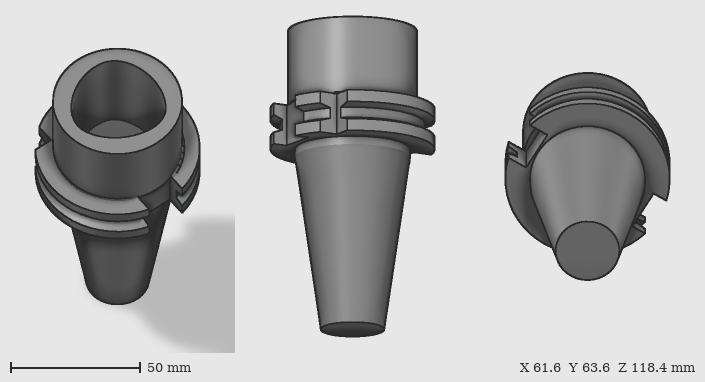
import cadquery as cq
import math

total_height = 118.4
taper_height = 68.3
flange_bottom = 71.5
flange_top = 87.6

gauge_radius = 22.3
taper_slope = 7 / 24 / 2
small_end_radius = gauge_radius - taper_height * taper_slope
flange_diameter = 63.6
flange_radius = flange_diameter / 2
body_radius = 25.0

fillet_radius = 1.0

groove_radius = 28.1
groove_floor_width = 4.0
groove_mouth_width = 6.9
groove_center = (flange_bottom + flange_top) / 2

slot_width = 16.0
left_slot_floor = body_radius
right_slot_floor = 22.9
notch_corner = 18.4

socket_mean_radius = 18.2
socket_lobe = 1.01
socket_depth = 37.9
socket_shrink = 1.0
socket_points = 36


def make_turned_shape():
    """Revolve the taper, grooved flange and body about Z."""
    floor_half = groove_floor_width / 2
    mouth_half = groove_mouth_width / 2
    arc_inset = fillet_radius * (1 - math.sqrt(0.5))
    return (
        cq.Workplane("XZ")
        .lineTo(small_end_radius, 0)
        .lineTo(gauge_radius, taper_height)
        .lineTo(gauge_radius, flange_bottom)
        .lineTo(flange_radius, flange_bottom)
        .lineTo(flange_radius, groove_center - mouth_half)
        .lineTo(groove_radius, groove_center - floor_half)
        .lineTo(groove_radius, groove_center + floor_half)
        .lineTo(flange_radius, groove_center + mouth_half)
        .lineTo(flange_radius, flange_top)
        .lineTo(body_radius + fillet_radius, flange_top)
        .threePointArc(
            (body_radius + arc_inset, flange_top + arc_inset),
            (body_radius, flange_top + fillet_radius),
        )
        .lineTo(body_radius, total_height)
        .lineTo(0, total_height)
        .close()
        .revolve(360, (0, 0, 0), (0, 1, 0))
    )


def flange_cutter(x_min, x_max, y_min, y_max):
    """Box spanning the flange and the fillet above it."""
    height = flange_top + fillet_radius - flange_bottom
    return (
        cq.Workplane("XY", origin=(x_min, y_min, flange_bottom))
        .box(x_max - x_min, y_max - y_min, height, centered=False)
    )


def socket_outline(mean_radius):
    """Points of a constant-width, three-lobed curve with one lobe toward -Y."""
    points = []
    for i in range(socket_points):
        angle = 2 * math.pi * i / socket_points
        reach = mean_radius + socket_lobe * math.sin(3 * angle)
        reach_rate = 3 * socket_lobe * math.cos(3 * angle)
        x = reach * math.cos(angle) - reach_rate * math.sin(angle)
        y = reach * math.sin(angle) + reach_rate * math.cos(angle)
        points.append((x, y))
    return points


def make_socket():
    """Loft the socket from its mouth to its slightly smaller floor."""
    return (
        cq.Workplane("XY", origin=(0, 0, total_height))
        .spline(socket_outline(socket_mean_radius), periodic=True)
        .close()
        .workplane(offset=-socket_depth)
        .spline(socket_outline(socket_mean_radius - socket_shrink), periodic=True)
        .close()
        .loft(ruled=True)
    )


half_slot = slot_width / 2
left_slot = flange_cutter(-flange_radius, -left_slot_floor, -half_slot, half_slot)
right_slot = flange_cutter(right_slot_floor, flange_radius, -half_slot, half_slot)
notch = flange_cutter(-flange_radius, -notch_corner, -flange_radius, -notch_corner)

above_flange = cq.Workplane("XY", origin=(0, 0, flange_top)).circle(body_radius).extrude(fillet_radius)

result = (
    make_turned_shape()
    .cut(left_slot)
    .cut(right_slot)
    .cut(notch)
    .union(above_flange)
    .cut(make_socket())
)